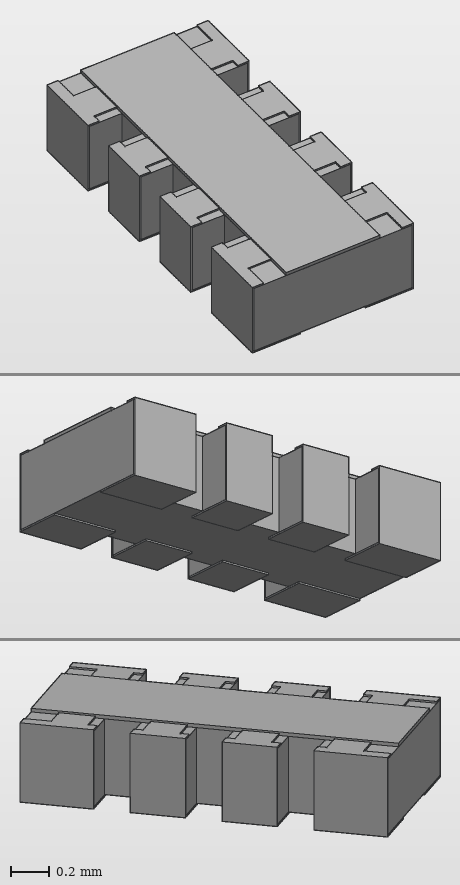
import cadquery as cq

length = 2.0
width = 1.0
height = 0.45

pad_thickness = 0.01
substrate_thickness = 0.42
film_thickness = 0.01

substrate_bottom = pad_thickness
substrate_top = substrate_bottom + substrate_thickness
film_top = substrate_top + film_thickness

terminal_pitch = 0.5
terminal_count = 4
gap_width = 0.2
strip_width = 0.2

cover_width = 0.58
cap_land = 0.07
end_wall_thickness = 0.01
pad_length = 0.3


def block(x_range, y_range, z_range):
    """Box spanning the given (low, high) ranges."""
    sizes = [high - low for low, high in (x_range, y_range, z_range)]
    corner = (x_range[0], y_range[0], z_range[0])
    return cq.Workplane("XY").box(*sizes, centered=False).translate(corner)


def mirrored_in_y(solid):
    """The solid joined with its mirror image across the XZ plane."""
    return solid.union(solid.mirror("XZ"))


gap_centers = [(i - (terminal_count - 2) / 2) * terminal_pitch for i in range(terminal_count - 1)]
gap_ranges = [(x - gap_width / 2, x + gap_width / 2) for x in gap_centers]
substrate_end = width / 2 - end_wall_thickness


def make_substrate():
    """Ceramic slab with a notch in both long sides at every gap."""
    body = block(
        (-length / 2, length / 2),
        (-substrate_end, substrate_end),
        (substrate_bottom, substrate_top),
    )
    for gap in gap_ranges:
        notch = block(gap, (cover_width / 2, width / 2), (0, height))
        body = body.cut(mirrored_in_y(notch))
    return body


def make_terminal(x_range, strip_center):
    """End caps on both long sides, joined by a film strip along the substrate's top."""
    end_wall = block(x_range, (substrate_end, width / 2), (0, film_top))
    top_land = block(x_range, (width / 2 - cap_land, width / 2), (substrate_top, film_top))
    bottom_pad = block(x_range, (width / 2 - pad_length, width / 2), (0, substrate_bottom))
    caps = mirrored_in_y(end_wall.union(top_land).union(bottom_pad))
    strip_range = (strip_center - strip_width / 2, strip_center + strip_width / 2)
    strip = block(strip_range, (-width / 2, width / 2), (substrate_top, film_top))
    return caps.union(strip)


def make_cover(terminals):
    """Protective coat over the strips, filling the space between them."""
    body = block(
        (-length / 2, length / 2),
        (-cover_width / 2, cover_width / 2),
        (substrate_top, height),
    )
    for terminal in terminals:
        body = body.cut(terminal)
    return body


terminal_starts = [-length / 2] + [high for low, high in gap_ranges]
terminal_ends = [low for low, high in gap_ranges] + [length / 2]

substrate = make_substrate()
terminals = []
for i in range(terminal_count):
    strip_center = (i - (terminal_count - 1) / 2) * terminal_pitch
    terminals.append(make_terminal((terminal_starts[i], terminal_ends[i]), strip_center))
cover = make_cover(terminals)

result = cq.Compound.makeCompound(
    [substrate.val(), cover.val(), *[terminal.val() for terminal in terminals]]
)